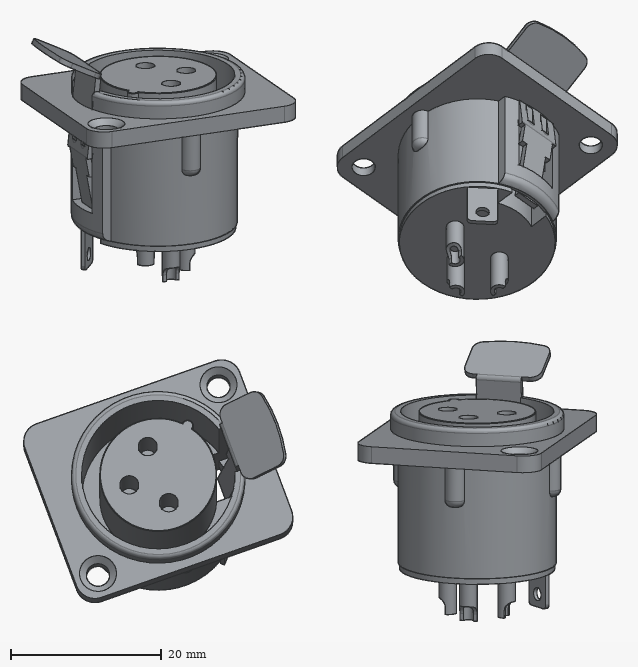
import cadquery as cq
import math


collar_top = 2.38
flange_bottom = -2.27
sill_top = -14.62
bore_floor = -10.18
body_bottom = -18.25
base_bottom = -19.05
pin_bottom = -25.38
tab_bottom = -25.45

flange_width = 25.4
flange_length = 30.47
flange_corner = 2.58
screw_spots = [(-9.45, 11.98), (9.45, -11.98)]
screw_diameter = 3.1
countersink_diameter = 4.92
countersink_angle = 100

collar_radius = 11.57
collar_round = 0.58
body_radius = 10.55
base_radius = 10.38
bore_radius = 10.2
insert_radius = 7.8
insert_edge = 0.1
key_radius = 0.78
key_angle = -50

contact_offset = 4.1
contact_angles = [180, 0, 90]
socket_radius = 1.25
socket_depth = 6.8
pin_radius = 1.2
cup_radius = 0.68
cup_height = 2.17
cup_depth = 2.38

rib_radius = 1.4
rib_offset = collar_radius - rib_radius
rib_bottom = -8.6
rib_round = 1.0

pad_radius = 11.6
pad_width = 10.05
pad_round = 1.22
window_width = 6.25

tab_angle = 230
tab_distance = 10.1
tab_width = 4.07
tab_thickness = 0.55
tab_corner = 0.6
tab_hole_diameter = 1.75
tab_hole_z = -23.7

latch_thickness = 0.75
crest_y = -11.85
crest_z = -6.8
crest_strip_z = -6.95
stem_tilt = 6.4
knee_round = 0.68
knee_stub = 0.55
knee_overlap = 0.07
tongue_tilt = 10.5
tongue_shoulder_z = -9.7
tongue_bottom_z = -17.98
tongue_upper_width = 5.1
tongue_lower_width = 3.5

overall_height = 33.93
overall_length = 32.13
paddle_angle = 27.7
paddle_width = 10.75
paddle_center_x = -0.2
paddle_thickness = 0.7
paddle_bow = 0.75
paddle_corner = 1.45
paddle_top = tab_bottom + overall_height
paddle_tip_y = flange_length / 2 - overall_length

groove_width = 1.15
groove_offset = 1.32
groove_end_z = -5.53
nose_bottom_z = -5.97


def cylinder(radius, bottom, top, x=0, y=0):
    """Upright cylinder between two heights."""
    return cq.Workplane("XY", origin=(x, y, bottom)).circle(radius).extrude(top - bottom)


def block(width, y_min, y_max, bottom, top):
    """Box centred on X = 0."""
    corner = (-width / 2, y_min, bottom)
    return cq.Workplane("XY").box(width, y_max - y_min, top - bottom, centered=False).translate(corner)


def side_plate(points, width):
    """Outline given as (y, z) points, extruded equally to both sides of X = 0."""
    return cq.Workplane("YZ").polyline(points).close().extrude(width / 2, both=True)


def make_flange():
    plate = (
        cq.Workplane("XY", origin=(0, 0, flange_bottom))
        .rect(flange_width, flange_length)
        .extrude(-flange_bottom)
        .edges("|Z")
        .fillet(flange_corner)
    )
    return (
        plate.faces(">Z")
        .workplane(origin=(0, 0, 0))
        .pushPoints(screw_spots)
        .cskHole(screw_diameter, countersink_diameter, countersink_angle)
    )


def make_pad():
    drum = cylinder(pad_radius, body_bottom, flange_bottom).faces("<Z").edges().fillet(pad_round)
    return drum.intersect(block(pad_width, -pad_radius, 0, body_bottom, flange_bottom))


def make_rib(angle):
    rib = cylinder(rib_radius, rib_bottom, flange_bottom, rib_offset)
    return rib.faces("<Z").edges().fillet(rib_round).rotate((0, 0, 0), (0, 0, 1), angle)


def make_insert():
    """Round insert with a key bump, standing in the bore."""
    angle = math.radians(key_angle)
    insert = cylinder(insert_radius, base_bottom, collar_top)
    key = cylinder(
        key_radius, base_bottom, collar_top, insert_radius * math.cos(angle), insert_radius * math.sin(angle)
    )
    return insert.union(key).faces(">Z").edges().chamfer(insert_edge)


def make_housing():
    collar = cylinder(collar_radius, 0, collar_top).faces(">Z").edges().fillet(collar_round)
    housing = make_flange().union(collar)
    housing = housing.union(cylinder(body_radius, body_bottom, flange_bottom))
    housing = housing.union(cylinder(base_radius, base_bottom, body_bottom)).union(make_pad())
    for angle in (0, 90, 180):
        housing = housing.union(make_rib(angle))

    housing = housing.cut(cylinder(bore_radius, bore_floor, collar_top))
    slot = block(window_width, -pad_radius, 0, base_bottom, sill_top)
    base_slot = slot.intersect(cylinder(base_radius, base_bottom, body_bottom))
    inner_slot = slot.intersect(cylinder(bore_radius, base_bottom, sill_top))
    window = block(window_width, -pad_radius, 0, sill_top, collar_top)
    window = window.intersect(cylinder(pad_radius, sill_top, collar_top))
    return housing.cut(base_slot).cut(inner_slot).cut(window).union(make_insert())


def make_socket():
    """Blind hole for a contact, on the +X side."""
    return cylinder(socket_radius, collar_top - socket_depth, collar_top, contact_offset)


def make_pin():
    """Solder pin on the +X side, its end scooped away on the outer half and bored out."""
    pin = cylinder(pin_radius, pin_bottom, base_bottom, contact_offset)
    scoop = (
        cq.Workplane("XZ", origin=(contact_offset, 0, pin_bottom))
        .lineTo(0, cup_height - pin_radius)
        .radiusArc((pin_radius, cup_height), pin_radius)
        .lineTo(pin_radius, 0)
        .close()
        .extrude(pin_radius, both=True)
    )
    cup = cylinder(cup_radius, pin_bottom, pin_bottom + cup_depth, contact_offset)
    return pin.cut(scoop).cut(cup)


def make_tab():
    """Flat ground tab whose broad faces look along the radius."""
    height = base_bottom - tab_bottom
    tab = (
        cq.Workplane("XY")
        .box(tab_thickness, tab_width, height)
        .translate((tab_distance - tab_thickness / 2, 0, tab_bottom + height / 2))
        .edges("|X and <Z")
        .fillet(tab_corner)
    )
    hole = (
        cq.Workplane("YZ", origin=(0, 0, tab_hole_z))
        .circle(tab_hole_diameter / 2)
        .extrude(tab_distance)
    )
    return tab.cut(hole).rotate((0, 0, 0), (0, 0, 1), tab_angle)


def stem_face_y(z):
    """Y of the outer face of the stem at a height."""
    return crest_y + (z - crest_z) * math.tan(math.radians(stem_tilt))


def tongue_face_y(z):
    """Y of the outer face of the tongue at a height."""
    return crest_y + (crest_z - z) * math.tan(math.radians(tongue_tilt))


def paddle_tip():
    """(y, z) of the top outer edge of the paddle."""
    return paddle_tip_y + paddle_thickness * math.sin(math.radians(paddle_angle)), paddle_top


def find_knee():
    """(y, z) where the back face of the stem meets the top face of the paddle."""
    tip_y, tip_z = paddle_tip()
    rise = math.tan(math.radians(paddle_angle))
    lean = math.tan(math.radians(stem_tilt))
    back_y_at_zero = stem_face_y(0) + latch_thickness
    z = (tip_z - (back_y_at_zero - tip_y) * rise) / (1 + lean * rise)
    return stem_face_y(z) + latch_thickness, z


def make_stem():
    """Leaning plate from the crest up to the knee, where it turns into the paddle."""
    slope = math.radians(paddle_angle)
    knee_y, knee_z = find_knee()
    stub_y = knee_y - knee_stub * math.cos(slope)
    stub_z = knee_z + knee_stub * math.sin(slope)
    outline = [
        (crest_y, crest_z),
        (crest_y + latch_thickness, crest_z),
        (knee_y, knee_z),
        (stub_y, stub_z),
        (stub_y - paddle_thickness * math.sin(slope), stub_z - paddle_thickness * math.cos(slope)),
    ]
    stem = side_plate(outline, window_width)
    knee = cq.selectors.NearestToPointSelector((0, knee_y, knee_z))
    return stem.edges("|X").edges(knee).fillet(knee_round)


def make_tongue(top, bottom, width):
    """Piece of the tongue between two heights; it leans inwards going down."""
    outline = [
        (tongue_face_y(top), top),
        (tongue_face_y(top) + latch_thickness, top),
        (tongue_face_y(bottom) + latch_thickness, bottom),
        (tongue_face_y(bottom), bottom),
    ]
    return side_plate(outline, width)


def make_groove():
    """Cutter for a groove with an upright floor and a ledge at its lower end."""
    floor_y = stem_face_y(flange_bottom)
    return block(groove_width, stem_face_y(groove_end_z), floor_y, groove_end_z, flange_bottom)


def make_nose():
    """Small upright nose standing slightly proud of the stem, its top level with the groove ledge."""
    side_y = stem_face_y(groove_end_z)
    back_y = side_y + latch_thickness / 2
    half = groove_width / 2
    return (
        cq.Workplane("XY", origin=(0, 0, nose_bottom_z))
        .moveTo(-half, back_y)
        .lineTo(-half, side_y)
        .threePointArc((0, stem_face_y(nose_bottom_z)), (half, side_y))
        .lineTo(half, back_y)
        .close()
        .extrude(groove_end_z - nose_bottom_z)
    )


def make_paddle():
    """Push paddle with a bowed outer edge; its top outer edge is the highest point of the part."""
    slope = math.radians(paddle_angle)
    tip_y, tip_z = paddle_tip()
    knee_y, knee_z = find_knee()
    length = math.hypot(knee_y - tip_y, tip_z - knee_z) - knee_stub + knee_overlap
    half = paddle_width / 2
    plane = cq.Plane(
        origin=(paddle_center_x, tip_y, tip_z),
        xDir=(1, 0, 0),
        normal=(0, math.sin(slope), math.cos(slope)),
    )
    return (
        cq.Workplane(plane)
        .moveTo(-half, length)
        .lineTo(-half, paddle_bow)
        .threePointArc((0, 0), (half, paddle_bow))
        .lineTo(half, length)
        .close()
        .extrude(-paddle_thickness)
        .edges(cq.selectors.ParallelDirSelector(plane.zDir))
        .fillet(paddle_corner)
    )


def make_latch():
    latch = make_stem().union(make_paddle())
    latch = latch.union(make_tongue(crest_z, crest_strip_z, window_width))
    latch = latch.union(make_tongue(crest_strip_z, tongue_shoulder_z, tongue_upper_width))
    latch = latch.union(make_tongue(tongue_shoulder_z, tongue_bottom_z, tongue_lower_width))
    for x in (-groove_offset, groove_offset):
        latch = latch.cut(make_groove().translate((x, 0, 0)))
        latch = latch.union(make_nose().translate((x, 0, 0)))
    return latch


result = make_housing().union(make_tab()).union(make_latch())
for contact_angle in contact_angles:
    result = result.union(make_pin().rotate((0, 0, 0), (0, 0, 1), contact_angle))
    result = result.cut(make_socket().rotate((0, 0, 0), (0, 0, 1), contact_angle))